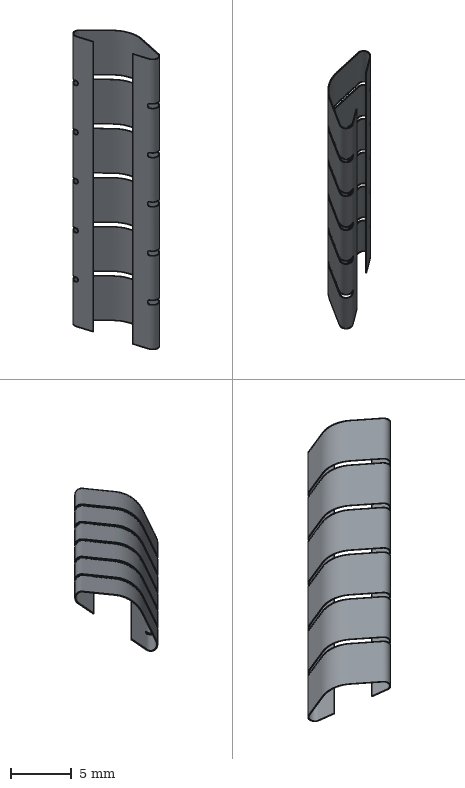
import cadquery as cq
import math

LENGTH = 28.05
WIDTH = 8.13
DEPTH = 2.8
THICKNESS = 0.08
BEND_RADIUS = 0.6
ROOF_ANGLE = 29.4
FLANGE_GAP = 3.79
SLOT_COUNT = 5
SLOT_HEIGHT = 0.45
SLOT_END_SPAN = 6.67
SLOT_CORNER_RADIUS = 0.2

ROOF = math.radians(ROOF_ANGLE)
BEND_X = WIDTH / 2 - BEND_RADIUS
RIDGE_Y = BEND_RADIUS + BEND_X * math.tan(ROOF) + BEND_RADIUS / math.cos(ROOF)
CROWN_RADIUS = (RIDGE_Y - DEPTH) / (1 / math.cos(ROOF) - 1)
CROWN_Y = DEPTH - CROWN_RADIUS
SLOT_PITCH = (LENGTH + SLOT_HEIGHT) / (SLOT_COUNT + 1)


def polar(center_x, center_y, radius, angle):
    """Point on a circle at an angle in radians."""
    return (center_x + radius * math.cos(angle), center_y + radius * math.sin(angle))


def mirrored(point):
    return (-point[0], point[1])


def sheet_face_points(inset):
    """Left flange end, bend and crown points of the sheet face lying inset below the outer face."""
    bend = BEND_RADIUS - inset
    wall_normal = math.pi / 2 + ROOF
    bend_middle = (wall_normal + 3 * math.pi / 2) / 2
    return {
        "flange_end": (-FLANGE_GAP / 2, inset),
        "bend_start": (-BEND_X, inset),
        "bend_middle": polar(-BEND_X, BEND_RADIUS, bend, bend_middle),
        "bend_end": polar(-BEND_X, BEND_RADIUS, bend, wall_normal),
        "crown_start": polar(0, CROWN_Y, CROWN_RADIUS - inset, wall_normal),
        "crown_top": (0, DEPTH - inset),
    }


def bent_sheet():
    outer = sheet_face_points(0)
    inner = sheet_face_points(THICKNESS)
    profile = (
        cq.Workplane("XY")
        .moveTo(*outer["flange_end"])
        .lineTo(*outer["bend_start"])
        .threePointArc(outer["bend_middle"], outer["bend_end"])
        .lineTo(*outer["crown_start"])
        .threePointArc(outer["crown_top"], mirrored(outer["crown_start"]))
        .lineTo(*mirrored(outer["bend_end"]))
        .threePointArc(mirrored(outer["bend_middle"]), mirrored(outer["bend_start"]))
        .lineTo(*mirrored(outer["flange_end"]))
        .lineTo(*mirrored(inner["flange_end"]))
        .lineTo(*mirrored(inner["bend_start"]))
        .threePointArc(mirrored(inner["bend_middle"]), mirrored(inner["bend_end"]))
        .lineTo(*mirrored(inner["crown_start"]))
        .threePointArc(inner["crown_top"], inner["crown_start"])
        .lineTo(*inner["bend_end"])
        .threePointArc(inner["bend_middle"], inner["bend_start"])
        .lineTo(*inner["flange_end"])
        .close()
    )
    return profile.extrude(LENGTH)


def slot_cutter():
    """Slot through the back and both bends, ending with rounded corners in the flanges."""
    back_slot = (
        cq.Workplane("XY")
        .box(WIDTH, DEPTH, SLOT_HEIGHT, centered=(True, False, True))
        .translate((0, BEND_RADIUS, 0))
    )
    right_notch = (
        cq.Workplane("XY")
        .box(WIDTH / 2, BEND_RADIUS, SLOT_HEIGHT, centered=(False, False, True))
        .edges("|Y and <X")
        .fillet(SLOT_CORNER_RADIUS)
        .translate((SLOT_END_SPAN / 2, 0, 0))
    )
    left_notch = right_notch.mirror("YZ")
    return back_slot.union(right_notch).union(left_notch)


result = bent_sheet()
cutter = slot_cutter()
for index in range(1, SLOT_COUNT + 1):
    slot_z = index * SLOT_PITCH - SLOT_HEIGHT / 2
    result = result.cut(cutter.translate((0, 0, slot_z)))